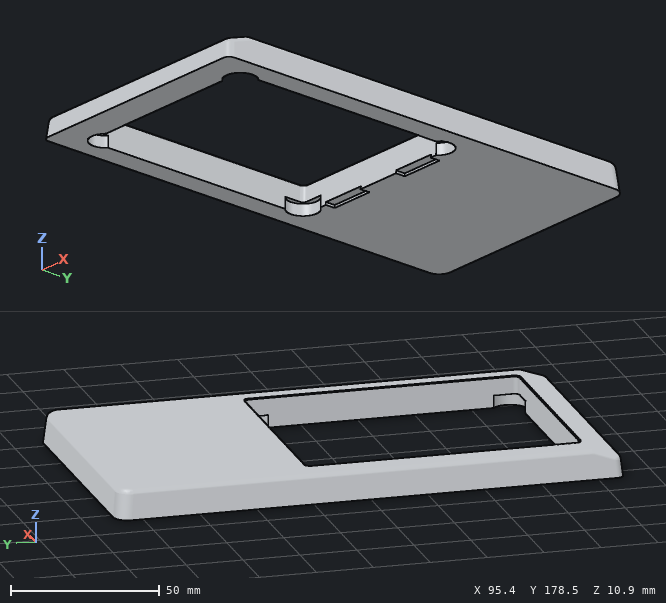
import cadquery as cq
import math

WIDTH = 95.4
LENGTH = 178.5
HEIGHT = 10.9
WALL_DRAFT = 6.0
BACK_CORNER_RADIUS = 5.2
FRONT_CORNER_RADIUS = 2.7
TOP_EDGE_RADIUS = 2.3

RAMP_START_Y = -78.7
RAMP_ANGLE = 19.5
RAMP_CREASE_RADIUS = 3.5

WINDOW_WIDTH = 77.0
WINDOW_FRONT_Y = -76.5
WINDOW_BACK_Y = 20.0
WINDOW_CORNER_RADIUS = 1.8
WINDOW_EDGE_CHAMFER = 0.4
WINDOW_BACK_DRAFT = 2.0

RELIEF_RADIUS = 6.0
RELIEF_HEIGHT = 4.5
RELIEF_INSET = 4.0

REBATE_HEIGHT = 1.0
REBATE_DEPTH = 3.5
REBATE_CORNER_CLEARANCE = 11.6
CENTRE_PAD_WIDTH = 18.2

RIM_MARGIN = 0.2

WINDOW_LENGTH = WINDOW_BACK_Y - WINDOW_FRONT_Y
WINDOW_CENTRE_Y = (WINDOW_BACK_Y + WINDOW_FRONT_Y) / 2


def make_body():
    """Drafted plate with rounded corners, a front ramp and a rounded top rim."""
    body = cq.Workplane("XY").rect(WIDTH, LENGTH).extrude(HEIGHT, taper=WALL_DRAFT)
    body = body.edges("not #Z").edges(">Y").fillet(BACK_CORNER_RADIUS)
    body = body.edges("not #Z").edges("<Y").fillet(FRONT_CORNER_RADIUS)

    ramp_run = LENGTH / 2 + RAMP_START_Y
    ramp_drop = ramp_run * math.tan(math.radians(RAMP_ANGLE))
    ramp_wedge = (
        cq.Workplane("YZ")
        .polyline([
            (RAMP_START_Y, HEIGHT),
            (-LENGTH / 2, HEIGHT),
            (-LENGTH / 2, HEIGHT - ramp_drop),
        ])
        .close()
        .extrude(WIDTH / 2, both=True)
    )
    body = body.cut(ramp_wedge)
    body = body.faces(">Z").edges("<Y").fillet(RAMP_CREASE_RADIUS)
    return body.faces(">Z").edges("not(<Y)").fillet(TOP_EDGE_RADIUS)


def make_window():
    """Cutter for the window, with its back wall leaning in towards the bottom."""
    back_lean = HEIGHT * math.tan(math.radians(WINDOW_BACK_DRAFT))
    opening = (
        cq.Workplane("YZ")
        .polyline([
            (WINDOW_FRONT_Y, 0),
            (WINDOW_BACK_Y - back_lean, 0),
            (WINDOW_BACK_Y, HEIGHT),
            (WINDOW_FRONT_Y, HEIGHT),
        ])
        .close()
        .extrude(WINDOW_WIDTH / 2, both=True)
    )
    return opening.edges("not #Z").fillet(WINDOW_CORNER_RADIUS)


def make_reliefs():
    """Four short cylinders under the corners of the window."""
    return (
        cq.Workplane("XY")
        .center(0, WINDOW_CENTRE_Y)
        .rect(WINDOW_WIDTH - 2 * RELIEF_INSET, WINDOW_LENGTH - 2 * RELIEF_INSET, forConstruction=True)
        .vertices()
        .circle(RELIEF_RADIUS)
        .extrude(RELIEF_HEIGHT)
    )


def make_rebates():
    """Two shallow slots under the back wall, either side of a pad at its centre."""
    rebate_width = WINDOW_WIDTH / 2 - REBATE_CORNER_CLEARANCE - CENTRE_PAD_WIDTH / 2
    rebate_centre_x = (CENTRE_PAD_WIDTH + rebate_width) / 2
    return (
        cq.Workplane("XY")
        .pushPoints([(-rebate_centre_x, WINDOW_BACK_Y), (rebate_centre_x, WINDOW_BACK_Y)])
        .rect(rebate_width, 2 * REBATE_DEPTH)
        .extrude(REBATE_HEIGHT)
    )


def chamfer_window_rim(plate):
    """Break the top edge of the window, leaving the outer rim of the plate alone."""
    rim_area = cq.selectors.BoxSelector(
        (-WINDOW_WIDTH / 2 - RIM_MARGIN, WINDOW_FRONT_Y - RIM_MARGIN, HEIGHT - RIM_MARGIN),
        (WINDOW_WIDTH / 2 + RIM_MARGIN, WINDOW_BACK_Y + RIM_MARGIN, HEIGHT + RIM_MARGIN),
    )
    return plate.faces(">Z").edges(rim_area).chamfer(WINDOW_EDGE_CHAMFER)


plate = chamfer_window_rim(make_body().cut(make_window()))
result = plate.cut(make_reliefs()).cut(make_rebates())